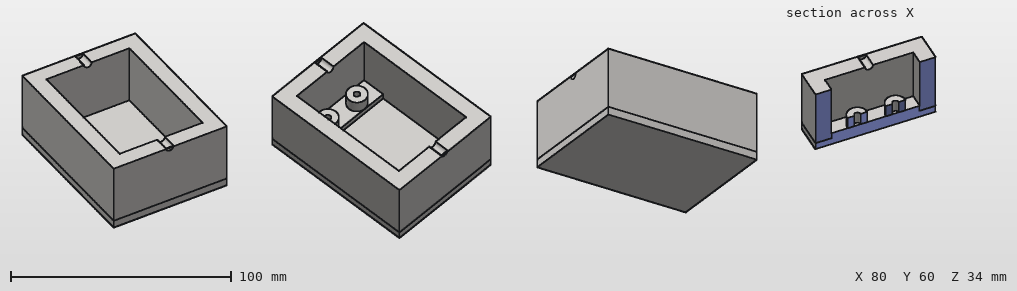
import cadquery as cq

LENGTH = 80.0
WIDTH = 60.0
HEIGHT = 34.0
BASE_THICKNESS = 4.0
WALL = 8.0

LEDGE_LENGTH = 12.0
LEDGE_HEIGHT = 3.0

POST_DIAMETER = 10.0
POST_HOLE_DIAMETER = 3.0
POST_HEIGHT = 6.3
POST_Y_POSITIONS = (20.0, 39.0)

GROOVE_DIAMETER = 4.0
GROOVE_END_SKIN = 0.5

CAVITY_LENGTH = LENGTH - 2 * WALL
CAVITY_WIDTH = WIDTH - 2 * WALL
LEDGE_START_X = LENGTH - WALL - LEDGE_LENGTH
LEDGE_TOP_Z = BASE_THICKNESS + LEDGE_HEIGHT
POST_X = LEDGE_START_X + POST_DIAMETER / 2


def box_at(x, y, z, length, width, height):
    """Box with its lowest corner at (x, y, z)."""
    return cq.Workplane("XY").box(length, width, height, centered=False).translate((x, y, z))


def make_base():
    """Flat plate carrying the raised ledge."""
    plate = box_at(0, 0, 0, LENGTH, WIDTH, BASE_THICKNESS)
    ledge = box_at(LEDGE_START_X, WALL, BASE_THICKNESS, LEDGE_LENGTH, CAVITY_WIDTH, LEDGE_HEIGHT)
    return plate.union(ledge)


def make_housing():
    """Open rectangular frame with a wire groove across each end wall."""
    wall_height = HEIGHT - BASE_THICKNESS
    frame = box_at(0, 0, BASE_THICKNESS, LENGTH, WIDTH, wall_height)
    cavity = box_at(WALL, WALL, BASE_THICKNESS, CAVITY_LENGTH, CAVITY_WIDTH, wall_height)
    groove = (
        cq.Workplane("YZ", origin=(GROOVE_END_SKIN, WIDTH / 2, HEIGHT))
        .circle(GROOVE_DIAMETER / 2)
        .extrude(LENGTH - 2 * GROOVE_END_SKIN)
    )
    return frame.cut(cavity).cut(groove)


def make_post(y):
    """Hollow post resting on the ledge."""
    return (
        cq.Workplane("XY", origin=(POST_X, y, LEDGE_TOP_Z))
        .circle(POST_DIAMETER / 2)
        .circle(POST_HOLE_DIAMETER / 2)
        .extrude(POST_HEIGHT)
    )


base = make_base()
housing = make_housing()
posts = [make_post(y) for y in POST_Y_POSITIONS]

result = cq.Compound.makeCompound(
    [base.val(), housing.val(), *[post.val() for post in posts]]
)